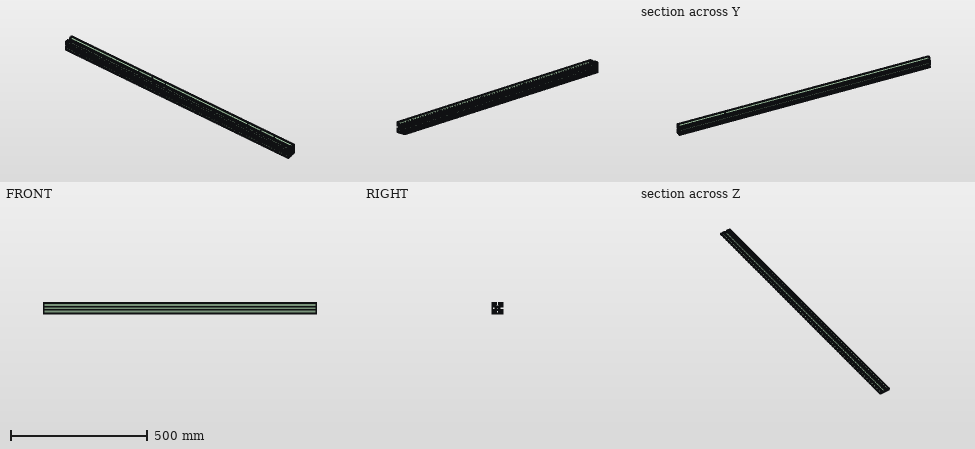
import cadquery as cq
import math

length = 1000.0
side = 40.0
corner_radius = 3.0

mouth_width = 10.0
mouth_rounding = 0.9
lip_thickness = 4.5
cavity_width = 22.0

lip_rib_height = 1.5
lip_rib_width = 0.5
lip_rib_slope_run = 1.0

core_side = 15.0
bore_diameter = 10.0
strut_thickness = 2.0

outer_wall = 1.5

hollow_side = 6.0
hollow_radius = 2.0

half_side = side / 2
half_mouth = mouth_width / 2


def bar():
    block = cq.Workplane("YZ").rect(side, side).extrude(length)
    return block.edges("|X").fillet(corner_radius)


def slot_from_mouth(half_outline):
    """Finish a half slot outline that has reached the side of the mouth, and make it a full slot."""
    half_cavity = cavity_width / 2
    lip_bottom = half_side - lip_thickness
    rib_bottom = lip_bottom - lip_rib_height
    rib_outer = half_mouth + lip_rib_width
    floor = core_side / 2
    flank_offset = strut_thickness / math.sqrt(2)
    return (
        half_outline
        .lineTo(half_mouth, rib_bottom)
        .lineTo(rib_outer, rib_bottom)
        .lineTo(rib_outer + lip_rib_slope_run, lip_bottom)
        .lineTo(half_cavity, lip_bottom)
        .lineTo(half_cavity, half_cavity + flank_offset)
        .lineTo(floor - flank_offset, floor)
        .lineTo(0, floor)
        .mirrorY()
        .extrude(length)
    )


def open_slot():
    """Slot in the +Z face, with rounded edges along its mouth."""
    arc_centre_y = half_mouth + mouth_rounding
    arc_centre_z = half_side - mouth_rounding
    arc_middle_offset = mouth_rounding * math.sqrt(0.5)
    arc_middle = (arc_centre_y - arc_middle_offset, arc_centre_z + arc_middle_offset)
    rounded_mouth = (
        cq.Workplane("YZ")
        .moveTo(0, half_side)
        .lineTo(arc_centre_y, half_side)
        .threePointArc(arc_middle, (half_mouth, arc_centre_z))
    )
    return slot_from_mouth(rounded_mouth)


def closed_slot():
    """Slot behind the +Z face, covered by the outer wall."""
    mouth_top = half_side - outer_wall
    covered_mouth = cq.Workplane("YZ").moveTo(0, mouth_top).lineTo(half_mouth, mouth_top)
    return slot_from_mouth(covered_mouth)


def bore():
    return cq.Workplane("YZ").circle(bore_diameter / 2).extrude(length)


def corner_hollow():
    """Hollow inside the (+Y, +Z) corner."""
    centre = half_side - outer_wall - hollow_side / 2
    hollow = cq.Workplane("YZ").center(centre, centre).rect(hollow_side, hollow_side).extrude(length)
    return hollow.edges("|X").fillet(hollow_radius)


def turned(shape, angle):
    """Turn a shape about the bar's axis; -90 degrees takes +Z to +Y."""
    return shape.rotate((0, 0, 0), (1, 0, 0), angle)


result = bar().cut(bore())
for open_angle in (0, -90):
    result = result.cut(turned(open_slot(), open_angle))
    result = result.cut(turned(closed_slot(), open_angle + 180))
for corner_angle in (0, 90, 180, 270):
    result = result.cut(turned(corner_hollow(), corner_angle))